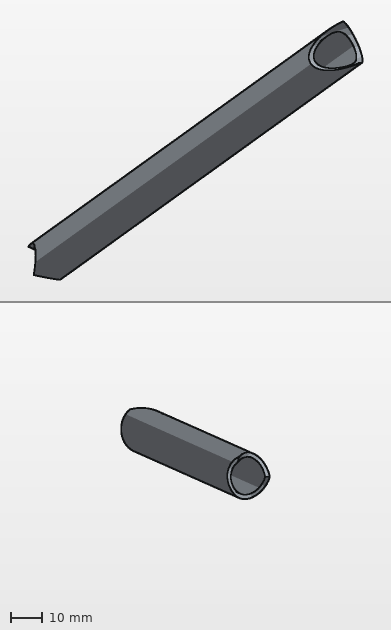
import cadquery as cq

joint_run_x = 66.0
joint_run_y = 83.7
joint_rise = 125.0

outer_radius = 7.4
chord_radius = 8.0
wall = 1.4
inner_radius = outer_radius - wall

lower_chord_direction = cq.Vector(1, 0.04, -0.06)
lower_brace_direction = cq.Vector(0.15, -0.45, 1)
upper_chord_direction = cq.Vector(0, 1, 0)

end_allowance = 3 * outer_radius
neighbour_length = 12 * outer_radius

lower_joint = cq.Vector(0, 0, 0)
upper_joint = cq.Vector(joint_run_x, joint_run_y, joint_rise)
tube_axis = upper_joint - lower_joint
tube_direction = tube_axis.normalized()


def make_tube():
    """Hollow tube running past both joints."""
    start = lower_joint - tube_direction * end_allowance
    length = tube_axis.Length + 2 * end_allowance
    outside = cq.Solid.makeCylinder(outer_radius, length, start, tube_direction)
    bore = cq.Solid.makeCylinder(inner_radius, length, start, tube_direction)
    return cq.Workplane("XY").newObject([outside]).cut(cq.Workplane("XY").newObject([bore]))


def make_bar(start, direction, length, radius):
    """Solid round bar standing in for a neighbouring tube."""
    bar = cq.Solid.makeCylinder(radius, length, start, direction)
    return cq.Workplane("XY").newObject([bar])


def make_chord(joint, direction, radius):
    """Neighbouring tube that passes straight through a joint."""
    unit = direction.normalized()
    start = joint - unit * (neighbour_length / 2)
    return make_bar(start, unit, neighbour_length, radius)


coped = make_tube()
coped = coped.cut(make_chord(lower_joint, lower_chord_direction, chord_radius))
coped = coped.cut(make_chord(upper_joint, upper_chord_direction, outer_radius))
coped = coped.cut(make_bar(lower_joint, lower_brace_direction, neighbour_length, outer_radius))

tube_middle = (lower_joint + upper_joint) * 0.5
middle_selector = cq.selectors.NearestToPointSelector(tube_middle.toTuple())
result = cq.Workplane("XY").newObject([coped.solids(middle_selector).val()])